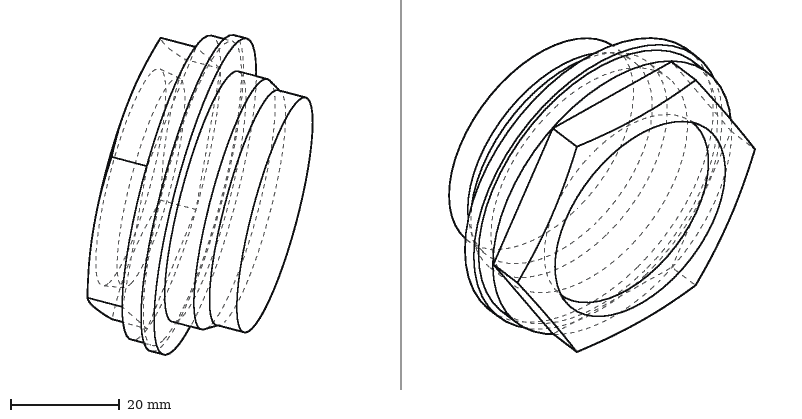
import cadquery as cq
import math

hex_end = 7.9
collar_end = 11.95
flange_end = 14.5
shoulder_end = 20.15
taper_end = 22.7
total_length = 28.0

collar_diameter = 58.0
flange_diameter = 60.3
shoulder_diameter = 47.8
spigot_diameter = 44.8

across_flats = 50.0
across_corners = across_flats / math.cos(math.radians(30))
corner_chamfer_depth = 1.1

recess_mouth_diameter = 41.4
recess_floor_diameter = 40.0
recess_depth = 3.9


def revolve_about_x(profile):
    """Revolve a closed (x, radius) profile about the X axis."""
    return cq.Workplane("XY").polyline(profile).close().revolve(360, (0, 0, 0), (1, 0, 0))


def hexagon_head():
    """Hexagon with corners on the Y axis, its corners chamfered by a cone."""
    prism = cq.Workplane("YZ").polygon(6, across_corners).extrude(hex_end)
    chamfer_envelope = revolve_about_x([
        (0, 0),
        (0, across_flats / 2),
        (corner_chamfer_depth, across_corners / 2),
        (hex_end, across_corners / 2),
        (hex_end, 0),
    ])
    return prism.intersect(chamfer_envelope)


def round_body():
    """Collar, flange, shoulder, taper and spigot as one revolved solid."""
    return revolve_about_x([
        (hex_end, 0),
        (hex_end, collar_diameter / 2),
        (collar_end, collar_diameter / 2),
        (collar_end, flange_diameter / 2),
        (flange_end, flange_diameter / 2),
        (flange_end, shoulder_diameter / 2),
        (shoulder_end, shoulder_diameter / 2),
        (taper_end, spigot_diameter / 2),
        (total_length, spigot_diameter / 2),
        (total_length, 0),
    ])


def face_recess():
    """Cone frustum narrowing from the outer face to a flat floor."""
    return revolve_about_x([
        (0, 0),
        (0, recess_mouth_diameter / 2),
        (recess_depth, recess_floor_diameter / 2),
        (recess_depth, 0),
    ])


result = hexagon_head().union(round_body()).cut(face_recess())